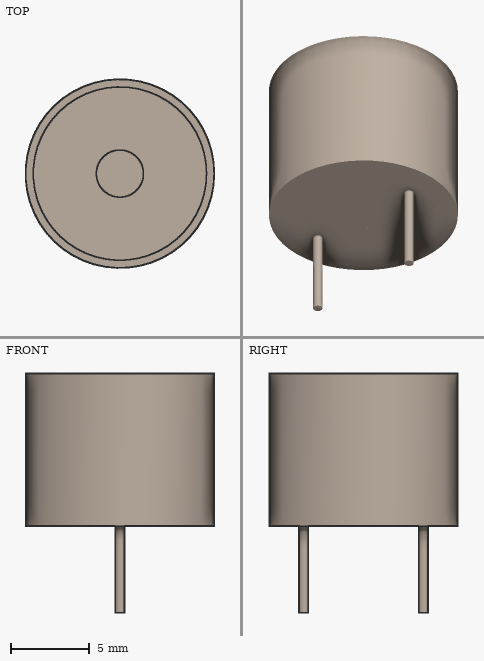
import cadquery as cq

total_height = 15.2
case_height = 9.7
case_diameter = 12.0
core_diameter = 11.0
plug_diameter = 3.0

pin_diameter = 0.6
pin_spacing = 7.6
pin_length = total_height - case_height


def make_tube(outer_diameter, inner_diameter):
    """Full-height ring around the Z axis."""
    return cq.Workplane("XY").circle(outer_diameter / 2).circle(inner_diameter / 2).extrude(case_height)


def make_sleeve():
    """Thin outer wall of the case."""
    return make_tube(case_diameter, core_diameter)


def make_core():
    """Body that fills the sleeve, with a central bore for the plug."""
    return make_tube(core_diameter, plug_diameter)


def make_plug():
    """Central cylinder, flush with the top of the core."""
    return cq.Workplane("XY").circle(plug_diameter / 2).extrude(case_height)


def make_pin(y):
    """Straight round pin hanging from the underside of the core."""
    return cq.Workplane("XY").center(0, y).circle(pin_diameter / 2).extrude(-pin_length)


sleeve = make_sleeve()
core = make_core()
plug = make_plug()
pins = [make_pin(side * pin_spacing / 2) for side in (-1, 1)]

result = cq.Compound.makeCompound([
    sleeve.val(),
    core.val(),
    plug.val(),
    *[pin.val() for pin in pins],
])